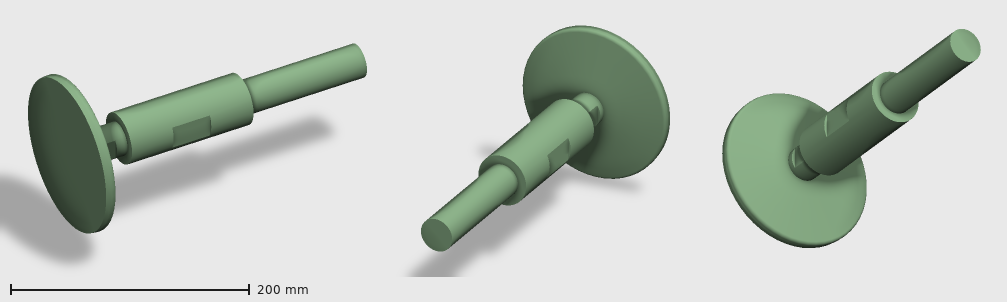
import cadquery as cq
import math

total_length = 278.0
base_radius = 138.0 / 2
rim_taper_height = 4.2
rim_taper = 0.5

rim_top = 7.0
rim_rounding = 2.8
cone_top = 18.5

spindle_radius = 30.0 / 2
spindle_flat_width = 24.0
spindle_flat_start = 24.5
spindle_flat_end = 39.5

sleeve_radius = 46.0 / 2
sleeve_start = 49.5
sleeve_end = 165.5
sleeve_flat_width = 41.0
sleeve_flat_start = 89.2
sleeve_flat_end = 125.0


def cylinder_along_y(radius, start, end):
    """Cylinder on the Y axis between two heights."""
    direction = cq.Vector(0, 1, 0)
    return cq.Workplane(cq.Solid.makeCylinder(radius, end - start, cq.Vector(0, start, 0), direction))


def cut_flats(body, width, radius, start, end):
    """Cut a pair of opposite wrench flats, facing -X and +X."""
    depth = radius - width / 2
    for side in (-1, 1):
        cutter = cq.Workplane("XY").box(2 * depth, end - start, 2 * radius)
        body = body.cut(cutter.translate((side * (width / 2 + depth), (start + end) / 2, 0)))
    return body


def make_base():
    """Conical plate, tapered towards the floor, whose straight rim blends into the cone with a tangent arc."""
    arc_center_radius = base_radius - rim_rounding

    def rounding_point(angle):
        return (
            arc_center_radius + rim_rounding * math.cos(angle),
            rim_top + rim_rounding * math.sin(angle),
        )

    across = spindle_radius - arc_center_radius
    up = cone_top - rim_top
    tangent_angle = math.atan2(up, across) - math.acos(rim_rounding / math.hypot(across, up))
    return (
        cq.Workplane("XY")
        .lineTo(base_radius - rim_taper, 0)
        .lineTo(base_radius, rim_taper_height)
        .lineTo(base_radius, rim_top)
        .threePointArc(rounding_point(tangent_angle / 2), rounding_point(tangent_angle))
        .lineTo(spindle_radius, cone_top)
        .lineTo(0, cone_top)
        .close()
        .revolve(360, (0, 0, 0), (0, 1, 0))
    )


def make_foot():
    """Base and spindle in one piece, with wrench flats just above the base."""
    spindle = cylinder_along_y(spindle_radius, cone_top, total_length)
    spindle = cut_flats(
        spindle, spindle_flat_width, spindle_radius, spindle_flat_start, spindle_flat_end
    )
    return make_base().union(spindle)


def make_sleeve():
    """Tube fitted around the spindle, with wrench flats at mid-length."""
    sleeve = cylinder_along_y(sleeve_radius, sleeve_start, sleeve_end)
    sleeve = sleeve.cut(cylinder_along_y(spindle_radius, sleeve_start, sleeve_end))
    return cut_flats(sleeve, sleeve_flat_width, sleeve_radius, sleeve_flat_start, sleeve_flat_end)


foot = make_foot()
sleeve = make_sleeve()

result = cq.Compound.makeCompound([*foot.solids().vals(), *sleeve.solids().vals()])